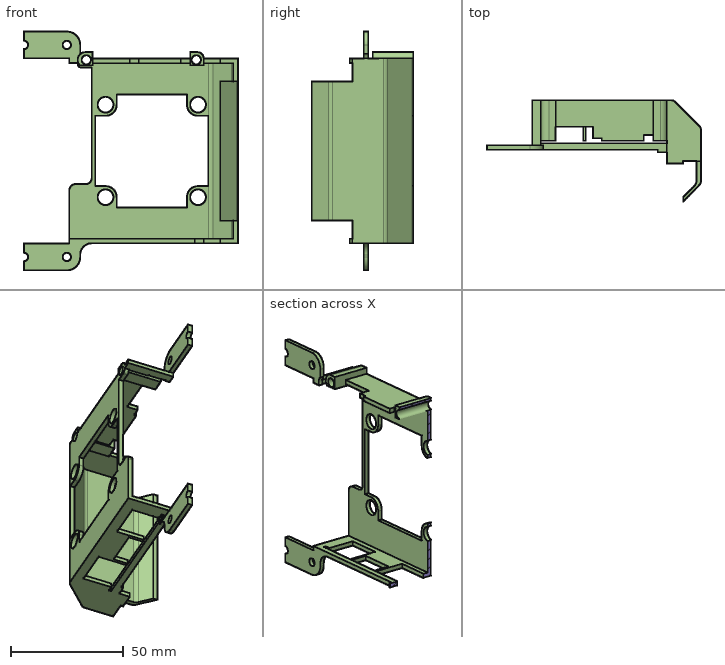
import cadquery as cq


HEIGHT = 106.0
WIDTH = 95.0
DEPTH = 45.0
SHEET = 2.1

FRAME_LEFT = 20.0
FRAME_HALF = 41.0
PLATE_LEFT = 30.0
BOSS_LEFT = 23.8
BOSS_DEPTH = 18.0
PLATE_UPPER_STEP = 37.0
PLATE_LOWER_STEP = -14.6
STEP_INNER_RADIUS = 2.5
STEP_OUTER_RADIUS = 3.0
STRIP_CORNER_RADIUS = 1.5

BEVEL = 12.2
SLANT_STEP = 2.0
FLAP_REACH = 8.0
FLAP_BEND = -36.9
FLAP_HALF = 30.8
WALL_FRONT = -27.0
INNER_BEND_RADIUS = 3.0
OUTER_BEND_RADIUS = 2.5

FAN_X = 56.7
FAN_WINDOW = 50.0
FAN_PITCH = 41.0
FAN_HOLE_DIAMETER = 6.9
LUG_RADIUS = 5.0

SHELF_TIP_FRONT = -28.2
SHELF_TIP_LEFT = 79.8
SHELF_TIP_RIGHT = WIDTH - FLAP_REACH
TOP_NOTCH_FRONT = -11.9
TOP_NOTCH_RIGHT = 47.0
TOP_STEP_FRONT = -17.0
TOP_STEP_RIGHT = 50.9
TOP_RELIEF_LEFT = 69.6
TOP_RELIEF_FRONT = -15.5
LOWER_STEP_LEFT = 75.7
LOWER_STEP_FRONT = -23.1

OPENING_X = 51.9
OPENING_WIDTH = 16.1
OPENING_PITCH = 17.4
LEFT_OPENING_BACK = -4.9
MIDDLE_OPENING_BACK = -11.2
RIGHT_OPENING_BACK = -4.5
SLOT_LENGTH = 56.0
SLOT_FRONT = -19.1

TAB_BACK = -19.9
TAB_HEIGHT = HEIGHT / 2 - FRAME_HALF
TAB_RIGHT = 25.0
TAB_CORNER_RADIUS = TAB_HEIGHT / 2
TAB_HOLE_DIAMETER = 3.6
TAB_FILLET_RADIUS = 5.0

LEFT_SCREW_X = 27.7
LEFT_BOSS_RIGHT = 30.4
RIGHT_SCREW_X = 76.4
RIGHT_BOSS_LEFT = 73.7
RIGHT_BOSS_RADIUS = 3.0
SCREW_Z = 40.4
SCREW_DIAMETER = 4.0
BOSS_BOTTOM = 38.1
BOSS_TOP = 43.9
LEFT_BOSS_RADIUS = BOSS_TOP - SCREW_Z

INNER_WALL = WIDTH - SHEET
BEVEL_LEFT = WIDTH - BEVEL
INNER_BEVEL_LEFT = BEVEL_LEFT - SLANT_STEP + SHEET
INNER_BEVEL_FRONT = -SHEET - (INNER_WALL - INNER_BEVEL_LEFT)
TAB_FRONT = TAB_BACK - SHEET


def prism(points, z_low, z_high):
    """Extrude an XY outline between two heights."""
    return cq.Workplane("XY").workplane(offset=z_low).polyline(points).close().extrude(z_high - z_low)


def box(x_left, x_right, y_front, y_back, z_low, z_high):
    """Block between pairs of opposite faces."""
    corner = (x_left, y_front, z_low)
    plane = cq.Workplane("XY", origin=corner)
    return plane.box(x_right - x_left, y_back - y_front, z_high - z_low, centered=False)


def rod(x, z, diameter, y_front, y_back):
    """Cylinder along Y."""
    plane = cq.Workplane("XZ", origin=(0, y_back, 0))
    return plane.center(x, z).circle(diameter / 2).extrude(y_back - y_front)


def round_upright(body, x, y, radius):
    """Fillet the vertical edge that passes through (x, y)."""
    return body.edges("|Z").edges(cq.selectors.NearestToPointSelector((x, y, 0))).fillet(radius)


def round_crosswise(body, x, z, radius):
    """Fillet the edge along Y that passes through (x, z)."""
    return body.edges("|Y").edges(cq.selectors.NearestToPointSelector((x, -SHEET / 2, z))).fillet(radius)


def folded_sheet():
    """Back plate, bevel, side wall and flap as one bent sheet."""
    flap_tip = WIDTH - FLAP_REACH
    outline = [
        (FRAME_LEFT, 0), (BEVEL_LEFT, 0), (WIDTH, -BEVEL), (WIDTH, FLAP_BEND), (flap_tip, -DEPTH),
        (flap_tip, -DEPTH + SHEET), (INNER_WALL, -DEPTH + SHEET + INNER_WALL - flap_tip),
        (INNER_WALL, INNER_BEVEL_FRONT), (INNER_BEVEL_LEFT, -SHEET), (FRAME_LEFT, -SHEET),
    ]
    sheet = prism(outline, -FRAME_HALF, FRAME_HALF)
    outer_bends = outline[1:4]
    inner_bends = outline[6:9]
    for x, y in outer_bends:
        sheet = round_upright(sheet, x, y, OUTER_BEND_RADIUS)
    for x, y in inner_bends:
        sheet = round_upright(sheet, x, y, INNER_BEND_RADIUS)
    for z_low, z_high in ((-FRAME_HALF, -FLAP_HALF), (FLAP_HALF, FRAME_HALF)):
        sheet = sheet.cut(box(FRAME_LEFT, WIDTH, -DEPTH, WALL_FRONT, z_low, z_high))
    return sheet


def plate_cutout():
    """Recess in the left edge of the back plate, with the space left of the boss strip."""
    recess = box(FRAME_LEFT, PLATE_LEFT, -SHEET, 0, PLATE_LOWER_STEP, PLATE_UPPER_STEP)
    recess = round_crosswise(recess, PLATE_LEFT, PLATE_LOWER_STEP, STEP_INNER_RADIUS)
    return recess.union(box(FRAME_LEFT, BOSS_LEFT, -SHEET, 0, PLATE_UPPER_STEP, FRAME_HALF))


def fan_window():
    """Square window that leaves a round-cornered lug with a hole at each corner."""
    half = FAN_WINDOW / 2
    window = box(FAN_X - half, FAN_X + half, -SHEET, 0, -half, half)
    holes = cq.Workplane("XY")
    for side_x in (-1, 1):
        for side_z in (-1, 1):
            x = FAN_X + side_x * FAN_PITCH / 2
            z = side_z * FAN_PITCH / 2
            lug = cq.Workplane("XZ").center(x, z).rect(2 * LUG_RADIUS, 2 * LUG_RADIUS).extrude(SHEET)
            lug = round_crosswise(lug, x - side_x * LUG_RADIUS, z - side_z * LUG_RADIUS, LUG_RADIUS)
            window = window.cut(lug)
            holes = holes.add(rod(x, z, FAN_HOLE_DIAMETER, -SHEET, 0))
    return window.union(holes.combine())


def shelf(front_edge, z_low):
    """Shelf with the given front edge, listed from left to right up to the raised tip."""
    outline = front_edge + [
        (SHELF_TIP_LEFT, SHELF_TIP_FRONT), (SHELF_TIP_RIGHT, SHELF_TIP_FRONT),
        (SHELF_TIP_RIGHT, WALL_FRONT), (WIDTH, WALL_FRONT),
        (WIDTH, -BEVEL), (BEVEL_LEFT, 0), (FRAME_LEFT, 0),
    ]
    body = prism(outline, z_low, z_low + SHEET)
    for x, y in ((WIDTH, -BEVEL), (BEVEL_LEFT, 0)):
        body = round_upright(body, x, y, OUTER_BEND_RADIUS)
    return body


def top_shelf():
    front_edge = [
        (FRAME_LEFT, TAB_FRONT), (BOSS_LEFT, TAB_FRONT),
        (BOSS_LEFT, TOP_NOTCH_FRONT), (TOP_NOTCH_RIGHT, TOP_NOTCH_FRONT),
        (TOP_NOTCH_RIGHT, TOP_STEP_FRONT), (TOP_STEP_RIGHT, TOP_STEP_FRONT),
        (TOP_STEP_RIGHT, -BOSS_DEPTH), (TOP_RELIEF_LEFT, -BOSS_DEPTH),
        (TOP_RELIEF_LEFT, TOP_RELIEF_FRONT), (SHELF_TIP_LEFT, TOP_RELIEF_FRONT),
    ]
    return shelf(front_edge, FRAME_HALF - SHEET)


def lower_shelf():
    """Lower shelf with three openings that run into one long slot at the front."""
    front_edge = [
        (FRAME_LEFT, TAB_FRONT), (LOWER_STEP_LEFT, TAB_FRONT),
        (LOWER_STEP_LEFT, LOWER_STEP_FRONT), (SHELF_TIP_LEFT, LOWER_STEP_FRONT),
    ]
    body = shelf(front_edge, -FRAME_HALF)
    z_range = (-FRAME_HALF, -FRAME_HALF + SHEET)
    half_slot = SLOT_LENGTH / 2
    body = body.cut(box(OPENING_X - half_slot, OPENING_X + half_slot, SLOT_FRONT, -BOSS_DEPTH, *z_range))
    for place, back in ((-1, LEFT_OPENING_BACK), (0, MIDDLE_OPENING_BACK), (1, RIGHT_OPENING_BACK)):
        left = OPENING_X + place * OPENING_PITCH - OPENING_WIDTH / 2
        body = body.cut(box(left, left + OPENING_WIDTH, SLOT_FRONT, back, *z_range))
    return body


def boss(x_left, x_right, y_front):
    return box(x_left, x_right, y_front, 0, BOSS_BOTTOM, BOSS_TOP)


def left_boss(y_front):
    """Left boss body: its left end is round, with the top and bottom cut flat."""
    center = BOSS_LEFT + LEFT_BOSS_RADIUS
    round_end = rod(center, SCREW_Z, 2 * LEFT_BOSS_RADIUS, y_front, 0)
    round_end = round_end.intersect(boss(BOSS_LEFT, LEFT_BOSS_RIGHT, y_front))
    return round_end.union(boss(center, LEFT_BOSS_RIGHT, y_front))


def right_boss():
    body = boss(RIGHT_BOSS_LEFT, SHELF_TIP_LEFT, -BOSS_DEPTH)
    return round_crosswise(body, SHELF_TIP_LEFT, BOSS_TOP, RIGHT_BOSS_RADIUS)


def tab():
    """Upper mounting tab with its hole and the half-round notch in its free end."""
    plane = cq.Workplane("XZ", origin=(0, TAB_BACK, 0))
    top = HEIGHT / 2
    body = (
        plane.moveTo(0, FRAME_HALF).lineTo(0, top).lineTo(TAB_RIGHT - TAB_CORNER_RADIUS, top)
        .radiusArc((TAB_RIGHT, top - TAB_CORNER_RADIUS), TAB_CORNER_RADIUS)
        .lineTo(TAB_RIGHT, FRAME_HALF - SHEET).lineTo(FRAME_LEFT, FRAME_HALF - SHEET)
        .lineTo(FRAME_LEFT, FRAME_HALF).close().extrude(SHEET)
    )
    for x in (0, TAB_RIGHT - TAB_CORNER_RADIUS):
        body = body.cut(rod(x, top - TAB_CORNER_RADIUS, TAB_HOLE_DIAMETER, TAB_FRONT, TAB_BACK))
    return body


def tab_web():
    """Concave gusset between the lower tab and the underside of the lower shelf."""
    plane = cq.Workplane("XZ", origin=(0, TAB_BACK, 0))
    return (
        plane.moveTo(TAB_RIGHT, -FRAME_HALF).lineTo(TAB_RIGHT + TAB_FILLET_RADIUS, -FRAME_HALF)
        .radiusArc((TAB_RIGHT, -FRAME_HALF - TAB_FILLET_RADIUS), -TAB_FILLET_RADIUS)
        .close().extrude(SHEET)
    )


back = folded_sheet().cut(plate_cutout()).cut(fan_window())
back = round_crosswise(back, FRAME_LEFT, PLATE_LOWER_STEP, STEP_OUTER_RADIUS)
back = round_crosswise(back, BOSS_LEFT, PLATE_UPPER_STEP, STRIP_CORNER_RADIUS)

upper_tab = tab().cut(left_boss(TAB_FRONT))
lower_tab = tab().mirror("XY").union(tab_web())

result = back.union(top_shelf()).union(lower_shelf())
result = result.union(left_boss(-BOSS_DEPTH)).union(right_boss())
result = result.union(upper_tab).union(lower_tab)
for screw_x in (LEFT_SCREW_X, RIGHT_SCREW_X):
    result = result.cut(rod(screw_x, SCREW_Z, SCREW_DIAMETER, -BOSS_DEPTH, 0))